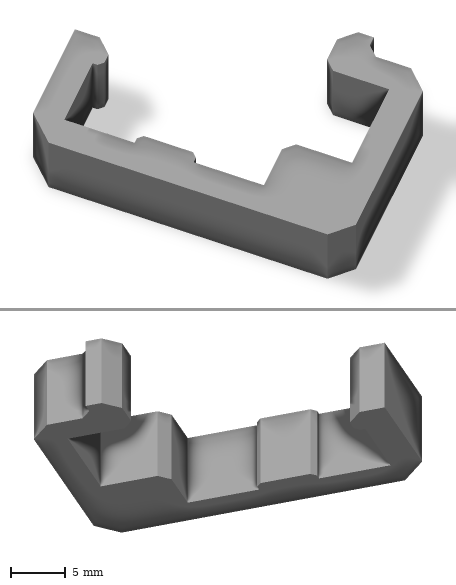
import cadquery as cq

length = 32.5
depth = 22.5
height = 7.0

wall = 3.0
left_corner_chamfer = 2.63
right_corner_chamfer = 2.0

left_arm_top = 12.95
left_hook_reach = 3.95
left_hook_depth = 3.0
hook_lead_in = 1.5
small_chamfer = 0.5

pad_width = 5.88
pad_height = 1.05

jaw_x = 22.9
block_top = 8.45
shoulder_y = 20.5
jaw_underside = shoulder_y - wall
jaw_chamfer = 1.0
lip_width = 3.05

inner_right_x = length - wall
left_hook_bottom = left_arm_top - left_hook_depth
pad_center = (wall + jaw_x) / 2
pad_left = pad_center - pad_width / 2
pad_right = pad_center + pad_width / 2
pad_top = wall + pad_height
lip_right = jaw_x + lip_width

outer_bottom = [
    (0, left_corner_chamfer),
    (left_corner_chamfer, 0),
    (length - right_corner_chamfer, 0),
    (length, right_corner_chamfer),
]

right_jaw = [
    (length, shoulder_y - right_corner_chamfer),
    (length - right_corner_chamfer, shoulder_y),
    (lip_right + jaw_chamfer, shoulder_y),
    (lip_right, shoulder_y + jaw_chamfer),
    (lip_right, depth),
    (jaw_x + hook_lead_in, depth),
    (jaw_x, depth - hook_lead_in),
    (jaw_x, jaw_underside + jaw_chamfer),
    (jaw_x + jaw_chamfer, jaw_underside),
    (inner_right_x, jaw_underside),
]

right_block = [
    (inner_right_x, block_top),
    (jaw_x + jaw_chamfer, block_top),
    (jaw_x, block_top - jaw_chamfer),
    (jaw_x, wall),
]

floor_pad = [
    (pad_right, wall),
    (pad_right, pad_top - small_chamfer),
    (pad_right - small_chamfer, pad_top),
    (pad_left + small_chamfer, pad_top),
    (pad_left, pad_top - small_chamfer),
    (pad_left, wall),
]

left_hook = [
    (wall, wall),
    (wall, left_hook_bottom),
    (left_hook_reach - small_chamfer, left_hook_bottom),
    (left_hook_reach, left_hook_bottom + small_chamfer),
    (left_hook_reach, left_arm_top - hook_lead_in),
    (left_hook_reach - hook_lead_in, left_arm_top),
    (0, left_arm_top),
]

profile = outer_bottom + right_jaw + right_block + floor_pad + left_hook
result = cq.Workplane("XY").polyline(profile).close().extrude(height)